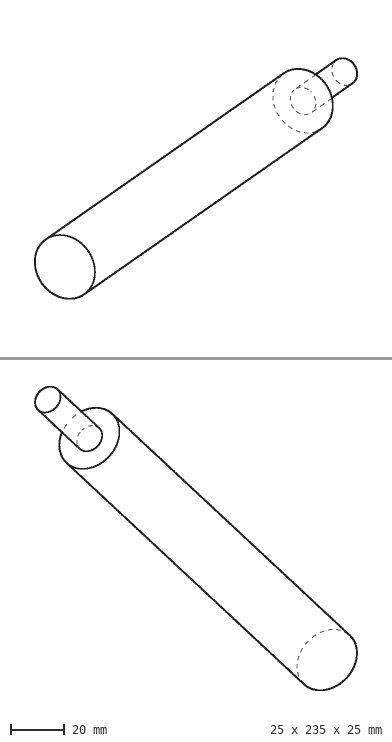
import cadquery as cq

total_length = 235.0
pin_length = 35.0
body_diameter = 25.0
pin_diameter = 10.5
body_length = total_length - pin_length

body = (
    cq.Workplane("XZ", origin=(0, -total_length / 2, 0))
    .circle(body_diameter / 2)
    .extrude(-body_length)
)

result = (
    body.faces(">Y")
    .workplane()
    .circle(pin_diameter / 2)
    .extrude(pin_length)
)